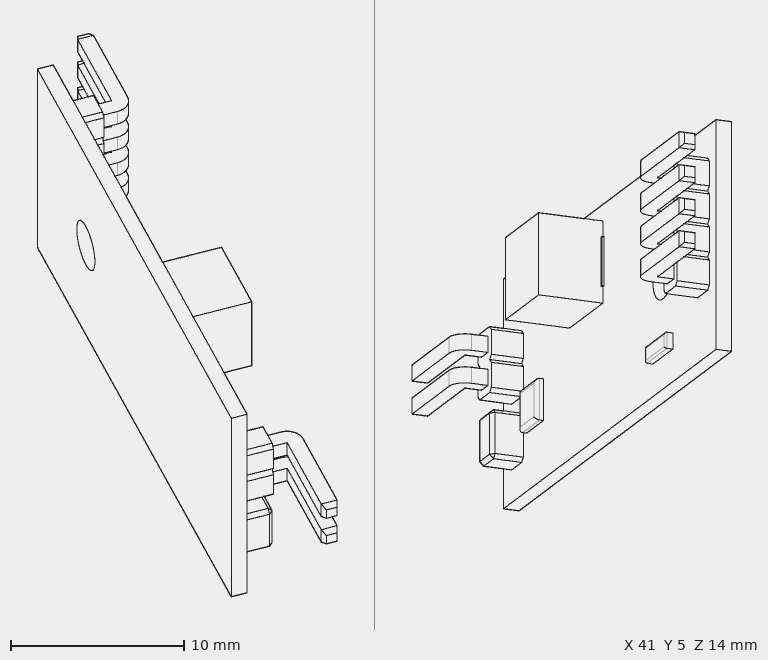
import cadquery as cq
import math

overall_length = 41.0
board_length = 32.0
board_thick = 1.0
board_height = 14.0
overall_depth = 5.0
hole_diameter = 3.0
hole_x = -8.0

pin_pitch = 2.0
header_width = 2.0
header_height = 2.0
header_chamfer = 0.25
header_inset = 2.0
pin_size = 1.0
tip_length = 0.4
tip_inset = 0.15
left_pin_rows = (-1, 0, 1, 2)
right_pin_rows = (0, 1)

block_size = 5.0
block_min_x = 1.02
block_min_z = 1.0
pad_thick = 0.12
pad_width = 3.0
pad_overhang = 0.15

component_base_z = -5.0
case_width = header_width
case_length = 3.0
case_height = header_height
case_chamfer = 0.25

low_height = 0.5
narrow_length = 3.0
narrow_width = 1.0
narrow_fillet = 0.12
square_size = 2.55
square_min_x = 9.95
square_min_z = -3.45
square_fillet = 0.25

board_back = board_thick


def mounted_box(min_x, min_z, length, width, height):
    """Box standing on the back face of the board."""
    origin = (min_x, board_back, min_z)
    return cq.Workplane("XY").box(length, height, width, centered=False).translate(origin)


def make_board():
    board = cq.Workplane("XY").box(board_length, board_thick, board_height, centered=(True, False, True))
    hole = cq.Workplane("XZ").center(hole_x, 0).circle(hole_diameter / 2).extrude(-board_thick)
    return board.cut(hole)


def make_header_body(centre_z):
    """Octagonal plastic body at the left end of the board."""
    min_x = -board_length / 2 + header_inset - header_width / 2
    body = mounted_box(min_x, centre_z - header_width / 2, header_width, header_width, header_height)
    return body.edges("|Y").chamfer(header_chamfer)


def make_pin(centre_z):
    """Right-angle pin: a leg out of the header, a round bend and an arm with a tapered tip."""
    leg_min_x = -board_length / 2 + header_inset - pin_size / 2
    leg_max_x = leg_min_x + pin_size
    arm_end_x = -overall_length / 2 + tip_length
    arm_min_y = overall_depth - pin_size
    bend_mid = pin_size * math.cos(math.pi / 4)
    pin = (
        cq.Workplane("XY", origin=(0, 0, centre_z))
        .moveTo(leg_min_x, board_back)
        .lineTo(leg_max_x, board_back)
        .lineTo(leg_max_x, arm_min_y)
        .threePointArc((leg_min_x + bend_mid, arm_min_y + bend_mid), (leg_min_x, overall_depth))
        .lineTo(arm_end_x, overall_depth)
        .lineTo(arm_end_x, arm_min_y)
        .lineTo(leg_min_x, arm_min_y)
        .close()
        .extrude(pin_size / 2, both=True)
    )
    tip_size = pin_size - 2 * tip_inset
    tip = (
        cq.Workplane("YZ", origin=(arm_end_x, arm_min_y + pin_size / 2, centre_z))
        .rect(pin_size, pin_size)
        .workplane(offset=-tip_length)
        .rect(tip_size, tip_size)
        .loft()
    )
    return pin.union(tip)


def make_header(rows):
    """Header at the left end of the board, with one body and one pin per row."""
    header = cq.Workplane("XY")
    for row in rows:
        centre_z = row * pin_pitch
        header = header.union(make_header_body(centre_z)).union(make_pin(centre_z))
    return header


def make_block():
    block_height = overall_depth - board_thick
    block = mounted_box(block_min_x, block_min_z, block_size, block_size, block_height)
    pad_min_x = block_min_x - pad_overhang
    pad_min_z = block_min_z + (block_size - pad_width) / 2
    pad = mounted_box(pad_min_x, pad_min_z, pad_overhang, pad_width, pad_thick)
    return block.union(pad)


def make_case():
    min_x = board_length / 2 - header_inset - case_width / 2
    case = mounted_box(min_x, component_base_z, case_width, case_length, case_height)
    return case.edges("not <Y").chamfer(case_chamfer)


def make_narrow_component():
    min_x = hole_x - narrow_length / 2
    body = mounted_box(min_x, component_base_z, narrow_length, narrow_width, low_height)
    return body.faces(">Y").edges().fillet(narrow_fillet)


def make_square_component():
    body = mounted_box(square_min_x, square_min_z, square_size, square_size, low_height)
    return body.faces(">Y").edges().fillet(square_fillet)


result = (
    make_board()
    .union(make_header(left_pin_rows))
    .union(make_header(right_pin_rows).mirror("YZ"))
    .union(make_block())
    .union(make_case())
    .union(make_narrow_component())
    .union(make_square_component())
)